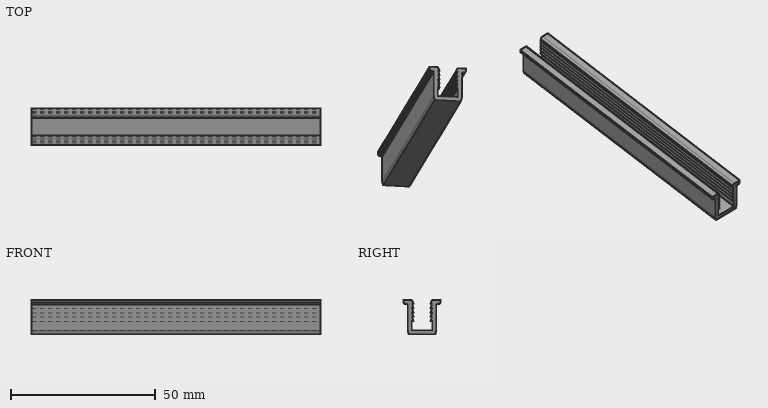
import cadquery as cq

length = 100.0
flange_width = 12.8
height = 12.0

channel_width = 10.0
wall = 1.5
floor = 1.5
bottom_chamfer_width = 0.4
bottom_chamfer_height = 1.5

flange_thickness = 1.5
flange_chamfer_width = 0.4
flange_chamfer_height = 0.6
corner_chamfer = 0.3

barb_count = 5
barb_pitch = 1.5
barb_depth = 0.5
barb_height_above_wall = 0.6
first_tip_drop = 1.4
lead_in_radius = 0.8
lead_in_end_drop = 0.8

half_channel = channel_width / 2
half_flange = flange_width / 2
wall_y = half_channel - wall
tip_y = wall_y - barb_height_above_wall
barb_root_y = tip_y + barb_depth
lead_in_end_y = barb_root_y - barb_depth / 2
underside_z = height - flange_thickness


def make_side():
    """Half of the channel on the +Y side, from the middle of the floor outward."""
    profile = (
        cq.Workplane("YZ")
        .moveTo(0, 0)
        .lineTo(half_channel - bottom_chamfer_width, 0)
        .lineTo(half_channel, bottom_chamfer_height)
        .lineTo(half_channel, underside_z - corner_chamfer)
        .lineTo(half_channel + corner_chamfer, underside_z)
        .lineTo(half_flange - flange_chamfer_width, underside_z)
        .lineTo(half_flange, underside_z + flange_chamfer_height)
        .lineTo(half_flange, height)
        .lineTo(lead_in_end_y + lead_in_radius, height)
        .radiusArc((lead_in_end_y, height - lead_in_end_drop), -lead_in_radius)
    )
    for index in range(barb_count):
        tip_z = height - first_tip_drop - index * barb_pitch
        last_barb = index == barb_count - 1
        step_y = wall_y if last_barb else barb_root_y
        profile = profile.lineTo(tip_y, tip_z).lineTo(step_y, tip_z)
    profile = profile.lineTo(wall_y, floor).lineTo(0, floor).close()
    return profile.extrude(length / 2, both=True)


side = make_side()
result = side.union(side.mirror("XZ")).clean()